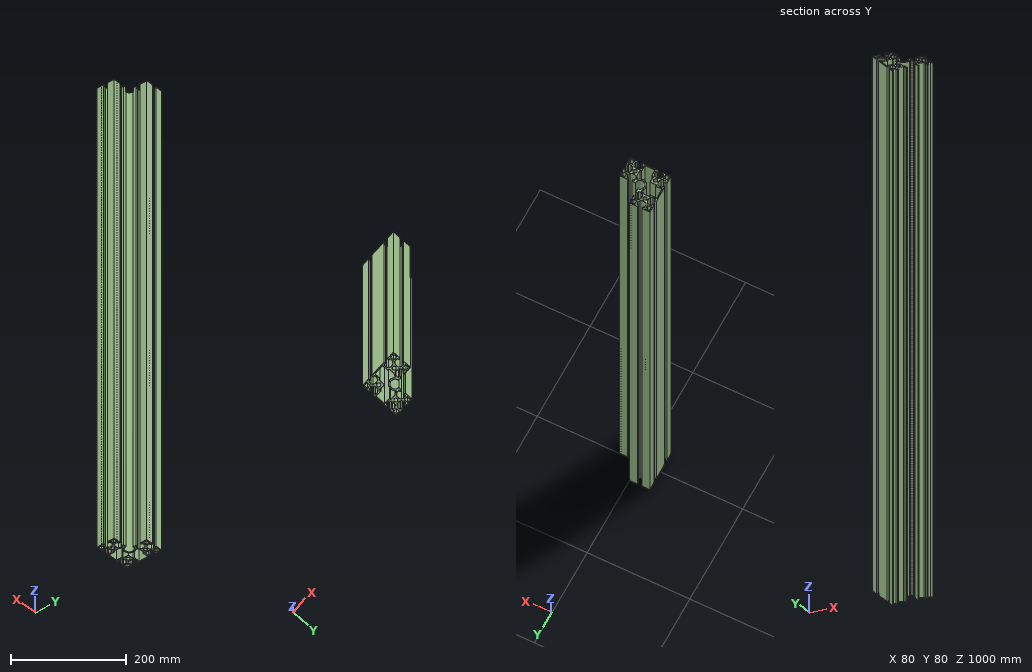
import cadquery as cq
import math

LENGTH = 1000.0
MODULE = 40.0
SIDE = 2 * MODULE
NEAR = MODULE / 2
FAR = SIDE - MODULE / 2

SLOT_MOUTH = 8.5
SLOT_LIP = 3.6
SLOT_CHAMBER = 15.0
SLOT_SHOULDER = 8.6
SLOT_FLOOR = 12.0
SLOT_FLOOR_EDGE = 12.0
SLOT_DEPTH = 14.0

BORE = 6.9
POCKET = 7.3
POCKET_PLACE = 5.9

GROOVE_RADIUS = 8.8
GROOVE_WALL = 2.7

CAVITY_WALL = 2.0
ARM_HALF_WIDTH = 10.0
ARM_REACH = 13.0
ARM_INNER_SIDE = 8.0
NECK_HALF_WIDTH = 5.5


def t_slot(x, y, turn):
    """T-slot cutter with its mouth centred on (x, y), running towards +Y before the turn."""
    right = [
        (SLOT_MOUTH / 2, 0),
        (SLOT_MOUTH / 2, SLOT_LIP),
        (SLOT_CHAMBER / 2, SLOT_LIP),
        (SLOT_CHAMBER / 2, SLOT_SHOULDER),
        (SLOT_FLOOR / 2, SLOT_FLOOR_EDGE),
    ]
    left = [(-px, py) for px, py in reversed(right)]
    outline = cq.Workplane("XY").polyline(right).threePointArc((0, SLOT_DEPTH), left[0])
    cutter = outline.polyline(left, includeCurrent=False).close().extrude(LENGTH)
    return cutter.rotate((0, 0, 0), (0, 0, 1), turn).translate((x, y, 0))


def main_cavity():
    """L-shaped cavity, symmetric about the diagonal, with the round groove wall bulging into it."""
    bulge_radius = GROOVE_RADIUS + GROOVE_WALL
    bulge_middle = MODULE - bulge_radius * math.sqrt(0.5)
    inner_side = MODULE - ARM_INNER_SIDE
    bulge_end = MODULE + math.sqrt(bulge_radius**2 - ARM_INNER_SIDE**2)
    upper = MODULE + ARM_HALF_WIDTH
    lower = MODULE - ARM_HALF_WIDTH
    arm = [
        (inner_side, bulge_end),
        (inner_side, upper),
        (NEAR + NECK_HALF_WIDTH, MODULE + ARM_REACH),
        (NEAR - NECK_HALF_WIDTH, MODULE + ARM_REACH),
        (NEAR - NECK_HALF_WIDTH, upper),
        (CAVITY_WALL, upper),
        (CAVITY_WALL, lower),
        (NEAR - NECK_HALF_WIDTH, lower),
        (NEAR - NECK_HALF_WIDTH, MODULE - ARM_REACH),
        (MODULE - ARM_REACH, MODULE - ARM_REACH),
    ]
    other_arm = [(y, x) for x, y in reversed(arm[:-1])]
    outline = cq.Workplane("XY").polyline(arm + other_arm)
    return outline.threePointArc((bulge_middle, bulge_middle), arm[0]).close().extrude(LENGTH)


result = (
    cq.Workplane("XY")
    .polyline([(0, 0), (SIDE, 0), (SIDE, MODULE), (MODULE, MODULE), (MODULE, SIDE), (0, SIDE)])
    .close()
    .extrude(LENGTH)
)

slots = [
    (NEAR, 0, 0),
    (FAR, 0, 0),
    (SIDE, NEAR, 90),
    (MODULE, FAR, 90),
    (NEAR, SIDE, 180),
    (FAR, MODULE, 180),
    (0, NEAR, 270),
    (0, FAR, 270),
]
for x, y, turn in slots:
    result = result.cut(t_slot(x, y, turn))

bores = cq.Workplane("XY").pushPoints([(NEAR, NEAR), (FAR, NEAR), (NEAR, FAR)])
result = result.cut(bores.circle(BORE / 2).extrude(LENGTH))

pocket_places = [
    (POCKET_PLACE, POCKET_PLACE),
    (SIDE - POCKET_PLACE, POCKET_PLACE),
    (SIDE - POCKET_PLACE, MODULE - POCKET_PLACE),
    (POCKET_PLACE, SIDE - POCKET_PLACE),
    (MODULE - POCKET_PLACE, SIDE - POCKET_PLACE),
]
pockets = cq.Workplane("XY").pushPoints(pocket_places)
result = result.cut(pockets.rect(POCKET, POCKET).extrude(LENGTH))

result = result.cut(main_cavity())
groove = cq.Workplane("XY").center(MODULE, MODULE).circle(GROOVE_RADIUS)
result = result.cut(groove.extrude(LENGTH))